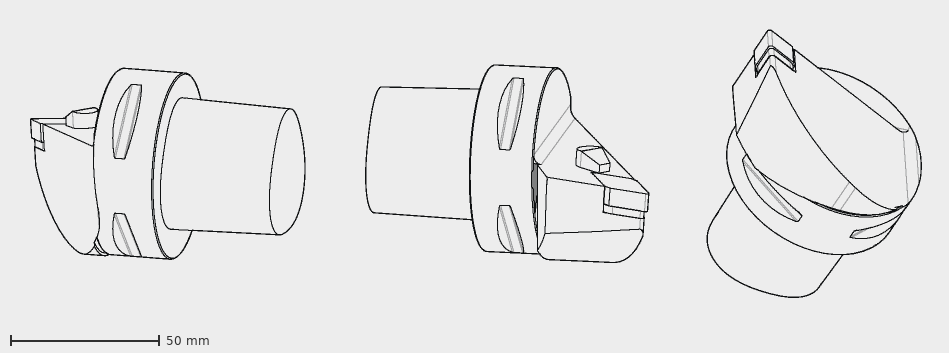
import cadquery as cq
import math


flange_radius = 31.5
flange_width = 22.0
flange_chamfer = 0.4
shank_length = 38.0
shank_radius = 22.0
shank_taper = 0.9
shank_lobes = 3
shank_lobe_height = 1.3
shank_curve_points = 72

slot_count = 4
slot_first_angle = 45
slot_x = -12.0
slot_floor_radius = 28.0
slot_floor_width = 3.6
slot_side_angle = 30
slot_floor_fillet = 0.5
slot_cutter_excess = 1.0

deck_slope_x = math.tan(math.radians(5.4))
deck_slope_y = -math.tan(math.radians(6.1))
deck_fillet = 3.0

tip_x = -65.0
tip_y = 45.0
nose_radius = 0.8
insert_angle = 55
insert_width = 12.8
insert_thickness = 6.4
insert_corner_chamfer = 2.6
lead_angle = 3
flank_angle = lead_angle + insert_angle

shim_thickness = 2.9
shim_corner_radius = 6.0
shim_inset = 0.6
flank_inset = 0.4
end_inset = 0.8
head_nose_radius = 1.0
head_length = 35.0
back_angle = 62.5
back_corner_radius = 1.0
wall_distance = 43.7
relief_fillet = 10.0
head_root_x = -23.6
neck_radius = 31.1
underside_radius = 32.0
underside_half_width = 43.3
overhang_offset = 3.1

clamp_u = 24.7
clamp_v = -20.3
clamp_angle = -38.7
clamp_diameter = 9.0
clamp_chord = 0.8
clamp_reach = 8.3
clamp_nose_width = 4.4
clamp_top_z = 10.1
clamp_nose_height = 2.9

reach = 123.6

nose_x = tip_x + nose_radius
nose_y = tip_y - nose_radius
deck = cq.Plane(
    origin=(nose_x, nose_y, 0),
    xDir=(1, 0, deck_slope_x),
    normal=(-deck_slope_x, -deck_slope_y, 1),
)


def along(angle, length):
    """Vector of a given length at an angle in degrees."""
    a = math.radians(angle)
    return length * math.cos(a), length * math.sin(a)


def add(p, q):
    """Sum of two plane vectors."""
    return p[0] + q[0], p[1] + q[1]


def wedge_corner(flank_offset, end_offset):
    """Corner of two lines parallel to the flank and the end edge, offset outwards from the nose centre."""
    s = math.sin(math.radians(insert_angle))
    c = math.cos(math.radians(insert_angle))
    along_end = -(flank_offset + end_offset * c) / s
    return add(along(-lead_angle, along_end), along(90 - lead_angle, end_offset))


def head_nose_corner():
    """Corner of the long flank and the end edge of the head, before rounding."""
    return wedge_corner(nose_radius - flank_inset, nose_radius - end_inset)


def head_root_corner():
    """Corner where the long flank meets the relief wall."""
    nose_u, nose_v = head_nose_corner()
    run = wall_distance - nose_u
    return wall_distance, nose_v - run * math.tan(math.radians(flank_angle))


def deck_prism(points, top, bottom):
    """Prism on a closed outline in the deck frame, between two depths below the deck."""
    return cq.Workplane(deck).workplane(offset=-bottom).polyline(points).close().extrude(bottom - top)


def corner_edge(point, top, bottom):
    """Selector for the edge of a deck prism that runs through one point of its outline."""
    u, v = point
    return cq.NearestToPointSelector(deck.toWorldCoords((u, v, -(top + bottom) / 2)).toTuple())


def round_corners(prism, points, top, bottom, radius):
    for point in points:
        prism = prism.edges(corner_edge(point, top, bottom)).fillet(radius)
    return prism


def rhombus_corners(inset):
    """Nose, end, inner and flank corners; the two outer sides are moved in by the inset."""
    nose = wedge_corner(nose_radius - inset, nose_radius - inset)
    side = (insert_width - inset) / math.sin(math.radians(insert_angle))
    end = add(nose, along(-lead_angle, side))
    flank = add(nose, along(-flank_angle, side))
    inner = add(end, along(-flank_angle, side))
    return nose, end, inner, flank


def make_insert():
    """Rhombic plate flush with the deck: acute corners rounded, obtuse corners cut flat."""
    top, bottom = 0, insert_thickness
    nose, end, inner, flank = rhombus_corners(0)
    insert = deck_prism([nose, end, inner, flank], top, bottom)
    insert = round_corners(insert, [nose, inner], top, bottom, nose_radius)
    setback = insert_corner_chamfer / 2 / math.cos(math.radians(insert_angle / 2))
    for point in (end, flank):
        insert = insert.edges(corner_edge(point, top, bottom)).chamfer(setback)
    return insert


def make_shim():
    """Seat under the insert, standing back a little from its sides."""
    top, bottom = insert_thickness, insert_thickness + shim_thickness
    nose, end, inner, flank = rhombus_corners(shim_inset)
    shim = deck_prism([nose, end, inner, flank], top, bottom)
    shim = round_corners(shim, [nose, inner], top, bottom, head_nose_radius)
    return round_corners(shim, [end, flank], top, bottom, shim_corner_radius)


def make_pocket():
    """Space for the insert and the shim, open past the outer sides."""
    return deck_prism(list(rhombus_corners(0)), 0, insert_thickness + shim_thickness)


def make_shank():
    """Tapered shank with a lobed section."""

    def section(x, radius):
        def point(t):
            a = 2 * math.pi * t
            r = radius + shank_lobe_height * math.cos(shank_lobes * a)
            return r * math.sin(a), r * math.cos(a)

        return cq.Workplane("YZ", origin=(x, 0, 0)).parametricCurve(point, N=shank_curve_points).val()

    wires = [section(0, shank_radius), section(shank_length, shank_radius - shank_taper)]
    return cq.Workplane(obj=cq.Solid.makeLoft(wires, True))


def make_slot_cutter():
    """Trapezoidal bar lying on the floor of a slot at the top of the flange."""
    depth = flange_radius - slot_floor_radius + slot_cutter_excess
    half_floor = slot_floor_width / 2
    half_mouth = half_floor + depth * math.tan(math.radians(slot_side_angle))
    floor_z = slot_floor_radius
    bar = (
        cq.Workplane("XZ", origin=(slot_x, 0, 0))
        .polyline([
            (-half_floor, floor_z),
            (half_floor, floor_z),
            (half_mouth, floor_z + depth),
            (-half_mouth, floor_z + depth),
        ])
        .close()
        .extrude(flange_radius, both=True)
    )
    return bar.faces("<Z").edges("|Y").fillet(slot_floor_fillet)


def make_flange():
    flange = cq.Workplane("YZ").circle(flange_radius).extrude(-flange_width)
    flange = flange.faces("<X or >X").edges().chamfer(flange_chamfer)
    cutter = make_slot_cutter()
    for i in range(slot_count):
        angle = slot_first_angle + i * 360 / slot_count
        flange = flange.cut(cutter.rotate((0, 0, 0), (1, 0, 0), angle))
    return flange


def make_underside():
    """Bar along X whose lower half bounds the head: round below the axis, elliptical below the overhang."""
    start = cq.Workplane("YZ", origin=(head_root_x, 0, 0))
    bar = (
        start.moveTo(0, underside_radius)
        .threePointArc((-underside_radius, 0), (0, -underside_radius))
        .lineTo(overhang_offset, -underside_radius)
        .ellipseArc(underside_half_width, underside_radius, -90, 90, sense=1)
        .close()
        .extrude(tip_x - head_root_x)
    )
    neck = start.circle(neck_radius).extrude(-flange_width - head_root_x)
    return bar.union(neck)


def make_head():
    """Block below the deck, from the insert back to the flange."""
    top, bottom = 0, reach
    nose = head_nose_corner()
    root = head_root_corner()
    end_length = (head_length - nose[0]) / math.cos(math.radians(lead_angle))
    back = add(nose, along(-lead_angle, end_length))
    outline = [
        nose,
        add(nose, along(-lead_angle, reach)),
        add(root, (reach, -reach)),
        add(root, (0, -reach)),
        root,
    ]
    prism = deck_prism(outline, top, bottom)
    prism = round_corners(prism, [nose], top, bottom, head_nose_radius)
    prism = round_corners(prism, [root], top, bottom, relief_fillet)

    nose_on_deck = deck.toWorldCoords(nose)
    back_on_deck = deck.toWorldCoords(back)
    far_end = nose_on_deck * 2 - back_on_deck
    wall_x, wall_y = add((back_on_deck.x, back_on_deck.y), along(-back_angle, reach))
    plan = (
        cq.Workplane("XY")
        .polyline([
            (far_end.x, far_end.y),
            (back_on_deck.x, back_on_deck.y),
            (wall_x, wall_y),
            (far_end.x, wall_y),
        ])
        .close()
        .extrude(reach, both=True)
    )
    back_edge = cq.NearestToPointSelector((back_on_deck.x, back_on_deck.y, 0))
    plan = plan.edges(back_edge).fillet(back_corner_radius)
    return prism.intersect(plan).intersect(make_underside())


def make_relief():
    """Cutter outside the long flank: it runs along the flank and curves into a wall across the flange."""
    nose_u, nose_v = head_nose_corner()
    root = head_root_corner()
    mid_flank = ((nose_u + root[0]) / 2, (nose_v + root[1]) / 2)
    outline = [
        mid_flank,
        root,
        add(root, (0, -reach)),
        add(root, (-reach, -reach)),
        add(root, along(-flank_angle - 90, reach)),
    ]
    cutter = deck_prism(outline, -reach, reach)
    return round_corners(cutter, [root], -reach, reach, relief_fillet)


def make_deck_fillet():
    """Concave strip between the deck and the flange face."""
    z_at_face = deck_slope_x * (-flange_width - nose_x) - deck_slope_y * nose_y
    section_plane = cq.Plane(
        origin=(-flange_width, 0, z_at_face),
        xDir=(1, 0, 0),
        normal=(0, -1, -deck_slope_y),
    )
    tilt = math.degrees(math.atan(deck_slope_x / math.hypot(1, deck_slope_y)))
    setback = deck_fillet / math.tan(math.radians((90 + tilt) / 2))
    on_deck = along(180 + tilt, setback)
    centre = (-deck_fillet, setback)
    middle = add(centre, along((tilt - 90) / 2, deck_fillet))
    strip = (
        cq.Workplane(section_plane)
        .lineTo(*on_deck)
        .threePointArc(middle, (0, setback))
        .close()
        .extrude(flange_radius, both=True)
    )
    return strip.intersect(cq.Workplane("YZ").circle(neck_radius).extrude(-reach))


def make_clamp():
    """Teardrop clamp on the deck: level top, ramp down to a blunt nose beside the insert."""
    plane = cq.Plane(
        origin=deck.toWorldCoords((clamp_u, clamp_v, 0)),
        xDir=deck.xDir,
        normal=deck.zDir,
    ).rotated((0, 0, clamp_angle))
    clamp_radius = clamp_diameter / 2
    half_chord = math.sqrt(clamp_radius**2 - clamp_chord**2)
    half_nose = clamp_nose_width / 2
    post = (
        cq.Workplane(plane)
        .moveTo(-clamp_reach, -half_nose)
        .lineTo(-clamp_chord, -half_chord)
        .threePointArc((clamp_radius, 0), (-clamp_chord, half_chord))
        .lineTo(-clamp_reach, half_nose)
        .close()
        .extrude(clamp_top_z)
    )
    post = post.intersect(
        cq.Workplane("XY").box(2 * reach, 2 * reach, clamp_top_z, centered=(True, True, False))
    )
    chord_foot = plane.toWorldCoords((-clamp_chord, 0, 0))
    ramp_rise = clamp_top_z - chord_foot.z - clamp_nose_height
    ramp = (
        cq.Workplane(cq.Plane(origin=plane.origin, xDir=plane.xDir, normal=-plane.yDir))
        .polyline([
            (-clamp_reach, clamp_nose_height),
            (-clamp_chord, clamp_nose_height + ramp_rise),
            (-clamp_chord, clamp_top_z),
            (-clamp_reach, clamp_top_z),
        ])
        .close()
        .extrude(clamp_radius, both=True)
    )
    return post.cut(ramp)


def make_holder():
    holder = make_flange().union(make_head()).union(make_deck_fillet())
    holder = holder.cut(make_relief()).cut(make_pocket())
    return holder.union(make_shim()).union(make_shank()).union(make_clamp())


holder = make_holder()
insert = make_insert()

result = cq.Compound.makeCompound([holder.solids().val(), insert.solids().val()])